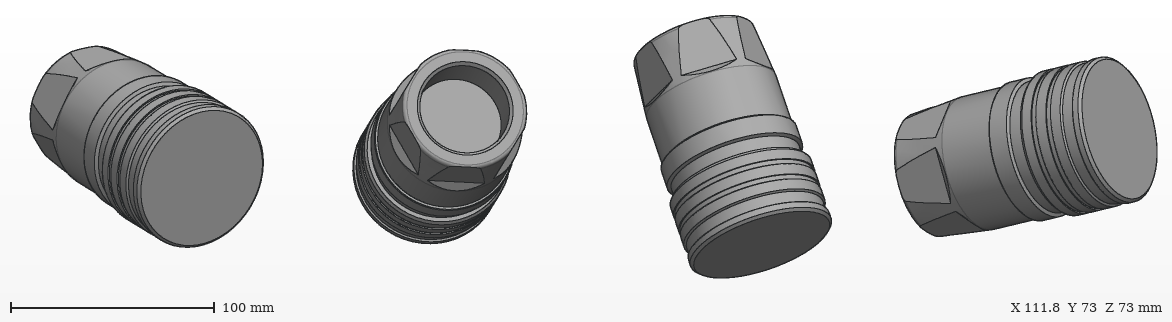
import cadquery as cq
import math

length = 111.8
barrel_diameter = 73.0
barrel_radius = barrel_diameter / 2

clearance = 1.1

body_radius = 33.5
nose_radius = 30.9
nose_end = 30.0
nose_round = 2.0
flat_distance = 30.0
flat_end = 25.9
flat_count = 6
flat_runout_angle = 45.0

bore_radius = 22.4
bore_depth = 25.0
bore_chamfer = 1.6

body_end = 57.8
body_chamfer = 0.7
collar_radius = 35.0
collar_front_chamfer = 0.5
collar_end = 68.1
neck_radius = 33.2
neck_start = 69.0
neck_end = 76.4

barrel_front_rise = 2.1
barrel_start = 77.9
grip_groove_radius = 35.8
grip_groove_width = 2.7
grip_groove_starts = (83.3, 91.8)
rear_groove_radius = 35.4
rear_groove_start = 100.1
rear_groove_end = 107.1
rear_groove_front_slope = 0.8
rear_groove_back_slope = 0.3
rear_chamfer = 1.5


def make_sleeve():
    """Solid of revolution with the taper, collar, neck and barrel."""
    outline = [
        (0, 0),
        (0, nose_radius),
        (nose_end, body_radius),
        (body_end - body_chamfer, body_radius),
        (body_end, body_radius - body_chamfer),
        (body_end, collar_radius - collar_front_chamfer),
        (body_end + collar_front_chamfer, collar_radius),
        (collar_end, collar_radius),
        (neck_start, neck_radius),
        (neck_end, neck_radius),
        (neck_end, neck_radius + barrel_front_rise),
        (barrel_start, barrel_radius),
        (rear_groove_start, barrel_radius),
        (rear_groove_start + rear_groove_front_slope, rear_groove_radius),
        (rear_groove_end - rear_groove_back_slope, rear_groove_radius),
        (rear_groove_end, barrel_radius),
        (length - rear_chamfer, barrel_radius),
        (length, barrel_radius - rear_chamfer),
        (length, 0),
    ]
    sleeve = cq.Workplane("XZ").polyline(outline).close().revolve(360, (0, 0, 0), (1, 0, 0))
    return sleeve.faces("<X").edges().fillet(nose_round)


def make_grip_groove(start):
    """Ring that cuts one shallow rectangular groove around the barrel."""
    ring = cq.Workplane("YZ").circle(barrel_radius + clearance).circle(grip_groove_radius)
    return ring.extrude(grip_groove_width).translate((start, 0, 0))


def make_flat_cutter(angle):
    """Prism above one wrench flat, ending in a sloped run-out face."""
    cutter_height = body_radius - flat_distance + clearance
    runout_length = cutter_height / math.tan(math.radians(flat_runout_angle))
    cutter_top = flat_distance + cutter_height
    profile = [
        (-clearance, flat_distance),
        (flat_end, flat_distance),
        (flat_end + runout_length, cutter_top),
        (-clearance, cutter_top),
    ]
    cutter = cq.Workplane("XZ").polyline(profile).close().extrude(body_radius, both=True)
    return cutter.rotate((0, 0, 0), (1, 0, 0), angle)


def make_bore():
    """Blind round bore with a chamfered mouth."""
    outline = [
        (0, 0),
        (0, bore_radius + bore_chamfer),
        (bore_chamfer, bore_radius),
        (bore_depth, bore_radius),
        (bore_depth, 0),
    ]
    return cq.Workplane("XZ").polyline(outline).close().revolve(360, (0, 0, 0), (1, 0, 0))


result = make_sleeve().cut(make_bore())
for groove_start in grip_groove_starts:
    result = result.cut(make_grip_groove(groove_start))
for index in range(flat_count):
    result = result.cut(make_flat_cutter(index * 360 / flat_count))